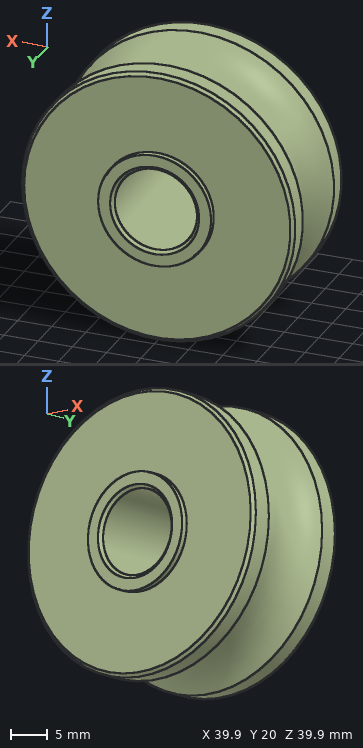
import cadquery as cq

wheel_diameter = 39.9
wheel_width = 18.0
rim_chamfer = 0.5

groove_radius = 7.0
groove_bottom_diameter = 34.0

hub_diameter = 16.5
hub_length = 20.0

bore_diameter = 12.0
bore_chamfer = 0.5


def cylinder_along_y(diameter, length):
    """Solid cylinder on the Y axis, centred on the XZ plane."""
    return cq.Workplane("XZ").circle(diameter / 2).extrude(length / 2, both=True)


def make_wheel():
    """Disc with both outer rim edges chamfered."""
    return cylinder_along_y(wheel_diameter, wheel_width).edges().chamfer(rim_chamfer)


def make_groove():
    """Ring of circular section that cuts the running groove."""
    section_centre = groove_bottom_diameter / 2 + groove_radius
    return (
        cq.Workplane("XY")
        .center(section_centre, 0)
        .circle(groove_radius)
        .revolve(360, (-section_centre, 0), (-section_centre, 1))
    )


def make_bore():
    """Through bore, widened at both ends by a conical chamfer."""
    bore_radius = bore_diameter / 2
    mouth_radius = bore_radius + bore_chamfer
    half_length = hub_length / 2
    chamfer_start = half_length - bore_chamfer
    return (
        cq.Workplane("XY")
        .moveTo(0, -half_length)
        .lineTo(mouth_radius, -half_length)
        .lineTo(bore_radius, -chamfer_start)
        .lineTo(bore_radius, chamfer_start)
        .lineTo(mouth_radius, half_length)
        .lineTo(0, half_length)
        .close()
        .revolve(360, (0, 0), (0, 1))
    )


grooved_wheel = make_wheel().cut(make_groove())
hub = cylinder_along_y(hub_diameter, hub_length)
result = grooved_wheel.union(hub).cut(make_bore())